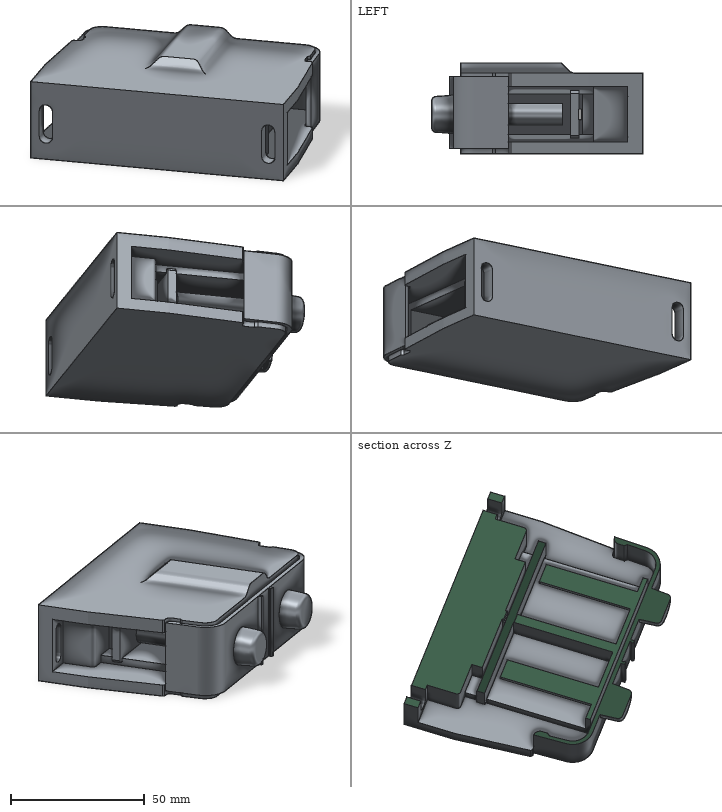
import cadquery as cq
import math


width = 98.0
height = 30.2
housing_depth = 68.1
taper_start = 20.2
shoulder_y = 50.0
shoulder_half_width = 46.6
shoulder_chamfer = 0.6
back_half_width = 43.3
back_radius = 4.9

recess_half_width = 43.0
recess_radius = 1.8
recess_back = 55.2
recess_ramp_end = 56.2
lip_half_width = 43.9

ridge_height = 3.8
ridge_half_base = 10.8
ridge_front = 26.7
ridge_radius = 3.3
foot_margin = 0.1

slot_width = 5.1
slot_height = 15.1
slot_from_side = 5.9
slot_z = 13.9

cavity_z = 14.8
opening_height = 20.8
pocket_height = 15.1
front_wall = 5.7
back_wall = 2.0
post_face_x = 38.5
post_back = 18.4
post_radius = 1.5
step_x = 32.5
partition = 3.9
pad_x = 24.5
pad_back = 22.5
slit_height = 3.9
slit_width = 0.8

bar_front = 23.9
bar_back = 27.0
bar_length = 69.6
bar_height = 17.8
bar_chamfer = 1.1
slit_front = bar_front - slit_width

cover_gap = 0.3
cover_front = shoulder_y + cover_gap
cover_back = 70.9
cover_wall = 1.8
cover_bottom = 2.0
cover_height = 27.0
cover_back_half_width = 45.2
cover_front_half_width = 45.9
cover_radius = 8.0
bump_half_width = 43.2
bump_radius = 2.45
bump_back = 55.0
bump_ramp_end = 56.0

clip_half_span = 5.6
clip_thickness = 1.1
clip_length = 1.5
barb_size = 0.5

knob_x = 22.05
knob_base_diameter = 14.5
knob_tip_diameter = 13.2
knob_back = 79.0
knob_radius = 1.9
rod_diameter = 8.1
rod_front = 30.1

SIDES = (-1, 1)
ARC_MID = math.sqrt(0.5)


def box(x_range, y_range, z_range):
    """Box between two corners, with the x limits in either order."""
    x0, x1 = sorted(x_range)
    y0, y1 = y_range
    z0, z1 = z_range
    return cq.Workplane("XY").box(x1 - x0, y1 - y0, z1 - z0, centered=False).translate((x0, y0, z0))


def centred_z(size):
    """Height range of a feature centred on the cavity."""
    return cavity_z - size / 2, cavity_z + size / 2


def round_corner_mid(x, y, radius):
    """Middle point of the quarter arc that rounds the lower x, lower y corner at (x, y)."""
    return x + radius * (1 - ARC_MID), y + radius * (1 - ARC_MID)


def housing_block():
    """Tapered plan outline with a snap recess in each side and rounded back corners."""
    half = (
        cq.Workplane("XY")
        .moveTo(0, 0)
        .lineTo(width / 2, 0)
        .lineTo(width / 2, taper_start)
        .lineTo(shoulder_half_width, shoulder_y - shoulder_chamfer)
        .lineTo(shoulder_half_width - shoulder_chamfer, shoulder_y)
        .lineTo(recess_half_width + recess_radius, shoulder_y)
        .threePointArc(
            round_corner_mid(recess_half_width, shoulder_y, recess_radius),
            (recess_half_width, shoulder_y + recess_radius),
        )
        .lineTo(recess_half_width, recess_back)
        .lineTo(lip_half_width, recess_ramp_end)
        .lineTo(back_half_width, housing_depth)
        .lineTo(0, housing_depth)
        .close()
        .extrude(height)
    )
    half = half.edges("|Z").edges(">Y").edges(">X").fillet(back_radius)
    return half.union(half.mirror("YZ"))


def add_ridge(body):
    """Ridge with 45 degree flanks and front, rounded along its crest and blended at its foot."""
    top_half = ridge_half_base - ridge_height
    ridge = (
        cq.Workplane("XZ", origin=(0, housing_depth, height))
        .polyline(
            [
                (-ridge_half_base, 0),
                (ridge_half_base, 0),
                (top_half, ridge_height),
                (-top_half, ridge_height),
            ]
        )
        .close()
        .extrude(housing_depth - ridge_front)
        .edges("|Y and >Z")
        .fillet(ridge_radius)
    )
    bevel_back = ridge_front + ridge_height
    front_bevel = (
        cq.Workplane("YZ", origin=(-ridge_half_base, 0, height))
        .polyline([(ridge_front, 0), (bevel_back, ridge_height), (ridge_front, ridge_height)])
        .close()
        .extrude(2 * ridge_half_base)
    )
    body = body.union(ridge.cut(front_bevel))
    foot = cq.selectors.BoxSelector(
        (-ridge_half_base - foot_margin, ridge_front - foot_margin, height - foot_margin),
        (ridge_half_base + foot_margin, housing_depth + foot_margin, height + foot_margin),
        boundingbox=True,
    )
    return body.edges(foot).fillet(ridge_radius)


def front_slots():
    """Round-ended upright slots from the front face into the side openings."""
    slot_x = width / 2 - slot_from_side
    return (
        cq.Workplane("XZ")
        .pushPoints([(side * slot_x, slot_z) for side in SIDES])
        .slot2D(slot_height, slot_width, 90)
        .extrude(-front_wall)
    )


def side_cavity(side):
    """Cavity open to the side and back, stepping in to a pocket with a front pad and a back wall."""
    opening_z = centred_z(opening_height)
    recess = box((side * post_face_x, side * width / 2), (front_wall, housing_depth), opening_z)
    shelf = box((side * step_x, side * width / 2), (post_back, housing_depth), opening_z)
    pocket_x = (side * partition / 2, side * step_x)
    pocket = box(pocket_x, (post_back, housing_depth - back_wall), centred_z(pocket_height))
    pad = box((0, side * pad_x), (post_back, pad_back), centred_z(pocket_height))
    corner_x = post_face_x - post_radius
    corner_y = post_back - post_radius
    corner = box((side * corner_x, side * post_face_x), (corner_y, post_back), opening_z)
    rounding = (
        cq.Workplane("XY", origin=(0, 0, opening_z[0]))
        .center(side * corner_x, corner_y)
        .circle(post_radius)
        .extrude(opening_height)
    )
    return recess.union(shelf).union(pocket.cut(pad)).union(corner.cut(rounding))


def rod(side):
    """Round rod reaching forward from the back wall, in line with a knob."""
    rod_back = housing_depth - back_wall / 2
    return (
        cq.Workplane("XZ", origin=(side * knob_x, rod_back, cavity_z))
        .circle(rod_diameter / 2)
        .extrude(rod_back - rod_front)
    )


def make_cross_bar():
    """Bar across the housing with bevelled ends, standing a little out of each step."""
    return (
        box((-bar_length / 2, bar_length / 2), (bar_front, bar_back), centred_z(bar_height))
        .edges("|Y")
        .chamfer(bar_chamfer)
    )


def make_housing():
    body = add_ridge(housing_block())
    body = body.cut(front_slots())
    for side in SIDES:
        body = body.cut(side_cavity(side)).union(rod(side))
    body = body.cut(make_cross_bar())
    slit = box((-partition, partition), (slit_front, bar_front), centred_z(slit_height))
    return body.cut(slit)


def cover_half():
    """One half of the bent wall, ending in a rounded snap bump."""
    inner_back = cover_back - cover_wall
    inner_radius = cover_radius - cover_wall
    outer_half = (
        cq.Workplane("XY", origin=(0, 0, cover_bottom))
        .polyline(
            [
                (0, cover_front),
                (cover_front_half_width, cover_front),
                (cover_back_half_width, cover_back),
                (0, cover_back),
            ]
        )
        .close()
        .extrude(cover_height)
        .edges("|Z")
        .edges(">Y")
        .edges(">X")
        .fillet(cover_radius)
    )
    inner_half = (
        cq.Workplane("XY", origin=(0, 0, cover_bottom))
        .moveTo(0, cover_front)
        .lineTo(bump_half_width + bump_radius, cover_front)
        .threePointArc(
            round_corner_mid(bump_half_width, cover_front, bump_radius),
            (bump_half_width, cover_front + bump_radius),
        )
        .lineTo(bump_half_width, bump_back)
        .lineTo(cover_front_half_width - cover_wall, bump_ramp_end)
        .lineTo(cover_back_half_width - cover_wall, inner_back)
        .lineTo(0, inner_back)
        .close()
        .extrude(cover_height)
        .edges("|Z")
        .edges(">Y")
        .edges(">X")
        .fillet(inner_radius)
    )
    return outer_half.cut(inner_half)


def cover_clip(side):
    """Thin upright strip on the back of the cover with a small barb facing the middle."""
    tip_y = cover_back + clip_length
    inner_x = clip_half_span - clip_thickness
    return (
        cq.Workplane("XY", origin=(0, 0, cover_bottom))
        .polyline(
            [
                (side * clip_half_span, cover_back),
                (side * clip_half_span, tip_y),
                (side * inner_x, tip_y),
                (side * (inner_x - barb_size), tip_y - barb_size),
                (side * inner_x, tip_y - 2 * barb_size),
                (side * inner_x, cover_back),
            ]
        )
        .close()
        .extrude(cover_height)
    )


def knob(side):
    """Tapered knob with a rounded end on the back of the cover."""
    knob_profile = [
        (0, cover_back),
        (-knob_base_diameter / 2, cover_back),
        (-knob_tip_diameter / 2, knob_back),
        (0, knob_back),
    ]
    return (
        cq.Workplane("XY")
        .polyline(knob_profile)
        .close()
        .revolve(360, (0, 0, 0), (0, 1, 0))
        .faces(">Y")
        .edges()
        .fillet(knob_radius)
        .translate((side * knob_x, 0, cavity_z))
    )


def make_cover():
    half = cover_half()
    body = half.union(half.mirror("YZ"))
    for side in SIDES:
        body = body.union(cover_clip(side)).union(knob(side))
    return body


housing = make_housing()
cover = make_cover()
cross_bar = make_cross_bar()

result = cq.Compound.makeCompound([housing.solids().val(), cover.solids().val(), cross_bar.solids().val()])